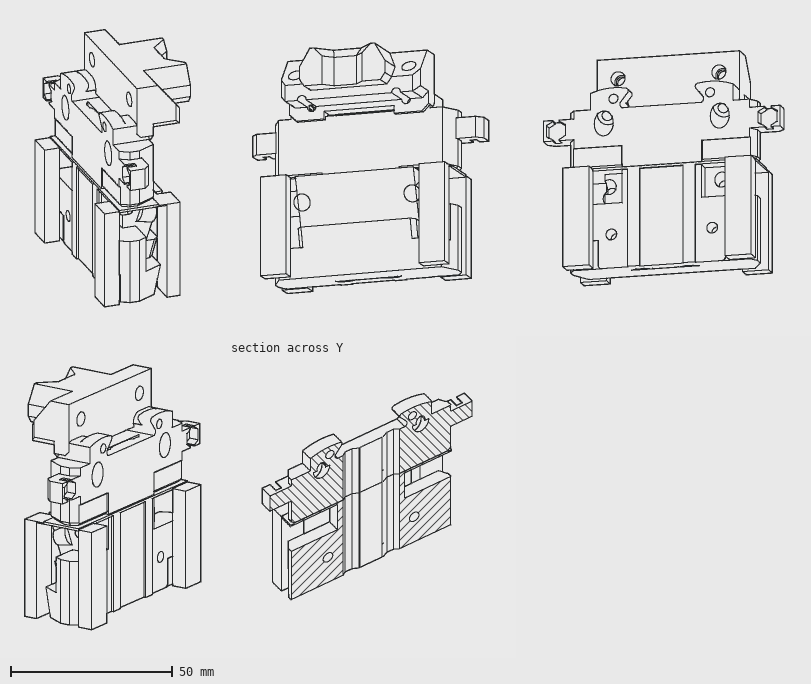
import cadquery as cq
import math

SIDES = (-1, 1)

overall_depth = 34.65
top_z = 68.8
plate_bottom_z = 31.9
plate_top_z = 51.0
leg_top_z = 31.55
deck_bottom_z = 31.15

end_front_x = 28.2
end_x = 30.0
end_front_y = 2.9
end_rear_y = 6.1
end_taper = 0.54
plate_rear_y = 11.85

prism_half_width = 22.9
prism_front_y = 7.9
slope_top_y = 14.75
slope_bottom_y = 22.8
slope_bottom_z = 59.1
wing_bottom_z = 54.0
wing_chamfer = 2.0
lip_rear_y = 13.4
lip_bottom_z = 49.85
lip_front_y = 11.4
lip_chamfer = 2.2
relief_half_width = 11.55
relief_top_z = 52.3
bridge_half_width = 13.2
jaw_rear_y = 29.0
jaw_half_width = 14.05
jaw_top_half_width = 10.65
jaw_shoulder_z = 63.0
jaw_bottom_z = 56.9
jaw_bottom_half_width = 12.55
notch_slope_z = 66.0
notch_top = (9.35, 4.55, 24.1)
notch_bottom = (6.5, 3.65, 26.0)
tapped_x = 16.2
tapped_z = 62.4
tapped_diameter = 4.5
tapped_depth = 4.55
tapped_drill_diameter = 3.5
tapped_drill_depth = 6.1
drill_tip_angle = 31.0

bolt_x = 18.6
bolt_z = 46.35
bolt_tilt = 40.0
bolt_head_diameter = 6.1
bolt_head_depth = 5.25
bolt_plate_diameter = 3.2
bolt_prism_diameter = 4.5
bolt_length = 34.2

hook_tip_x = 38.0
hook_bottom_z = 41.8
hook_top_z = 48.4
hook_depth = 6.85
hook_chamfer = 2.05
nut_x = 34.0
nut_flats = 6.1
nut_depth = 3.2
nut_slot_width = 2.1
ear_hole_x = 15.5
ear_hole_z = 54.0
ear_hole_diameter = 2.9
ear_side_z = 56.25
ear_crown = (16.7, 57.5)
ear_nose_top = (11.7, 57.2)
ear_nose_tip = (10.9, 56.7)
ear_nose_bottom = (10.9, 55.8)
ear_neck_top = (13.2, 52.8)
ear_neck = (13.4, 51.8)
ear_foot_x = 12.6
ear_foot_depth = 0.75
ear_step_y = 4.7
ear_step_z = 56.8
ear_round = 3.2
ear_round_end_x = 12.85
corner_inner_x = 12.7
corner_top_z = 38.9
corner_depth = 0.3
corner_chamfer = 1.2

leg_outer_x = 30.25
leg_inner_x = 21.8
rib_front_y = -0.7
front_leg_y = jaw_rear_y - overall_depth
deck_rear_y = 15.05
rear_leg_y = 19.45
raised_rear_y = 12.4
rib_inner_x = 7.0
rib_outer_x = 10.9
core_half_width = 19.4
wall_front_y = 4.4
wing_rear_y = 8.8
wing_top_z = 20.7
base_top_z = 9.1
base_rear_y = 12.15
base_slope = 0.288
rear_chamfer = 1.45
ledge_z = 15.2
ledge_y = 12.2
base_recess_x = 20.45
base_recess_round = 1.2
dowel_x = 16.2
dowel_z = 10.7
dowel_diameter = 3.4
dowel_depth = 6.1
slit_outline = [(4.1, 4.5), (6.5, 3.35), (9.1, 3.35), (10.9, 4.5)]
slit_gap = 0.2

pin_x = 18.1
pin_tilt = 19.0
pin_front_diameter = 6.85
pin_rear_diameter = 5.3
pin_length = 5.3
pin_start = 5.9
screw_z = 27.05
screw_diameter = 3.2
screw_head_diameter = 4.5
screw_head_depth = 0.9
screw_depth = 3.2


def box(x_a, x_b, y_a, y_b, z_a, z_b):
    """Axis-parallel box between two corners, given in any order."""
    size = (abs(x_b - x_a), abs(y_b - y_a), abs(z_b - z_a))
    middle = ((x_a + x_b) / 2, (y_a + y_b) / 2, (z_a + z_b) / 2)
    return cq.Workplane("XY").box(*size).translate(middle)


def side_prism(points, half_width):
    """Outline in Y and Z extruded to both sides of the middle plane."""
    return cq.Workplane("YZ").polyline(points).close().extrude(half_width, both=True)


def tilted_cylinder(diameter, length, x, y, z, tilt):
    """Cylinder that runs to the rear from a start point, rising by the tilt angle in degrees."""
    angle = math.radians(tilt)
    axis = cq.Vector(0, math.cos(angle), math.sin(angle))
    return cq.Workplane(cq.Solid.makeCylinder(diameter / 2, length, cq.Vector(x, y, z), axis))


def end_profile(rear_y):
    """Plan outline with faceted ends, from the front face to a rear plane."""
    rear_x = end_x - end_taper * (rear_y - end_rear_y)
    right = [(end_front_x, 0), (end_x, end_front_y), (end_x, end_rear_y), (rear_x, rear_y)]
    left = [(-x, y) for x, y in reversed(right)]
    return cq.Workplane("XY").polyline(right + left).close()


def slits(bottom_z, top_z_of_cut):
    """Pair of vertical slits with a thin gap between them, open from above to below."""
    cutter = cq.Workplane("XY").workplane(offset=bottom_z)
    for side in SIDES:
        cutter = cutter.polyline([(side * x, y) for x, y in slit_outline]).close()
    inner_x, rear_y = slit_outline[0]
    gap = box(-inner_x, inner_x, rear_y - slit_gap, rear_y, bottom_z, top_z_of_cut)
    return cutter.extrude(top_z_of_cut - bottom_z).union(gap)


def wing_body():
    wing = side_prism(
        [
            (prism_front_y, wing_bottom_z),
            (prism_front_y, top_z),
            (slope_top_y, top_z),
            (slope_bottom_y, slope_bottom_z),
            (slope_bottom_y, wing_bottom_z),
        ],
        prism_half_width,
    )
    corner = wing_chamfer
    for side in SIDES:
        edge_x = side * prism_half_width
        inner_x = edge_x - side * corner
        rear_edge = (
            cq.Workplane("XY").workplane(offset=wing_bottom_z)
            .polyline([
                (edge_x, slope_bottom_y),
                (inner_x, slope_bottom_y),
                (edge_x, slope_bottom_y - corner),
            ])
            .close().extrude(top_z - wing_bottom_z)
        )
        bottom_edge = (
            cq.Workplane("XZ", origin=(0, lip_rear_y, 0))
            .polyline([(edge_x, wing_bottom_z), (inner_x, wing_bottom_z), (edge_x, wing_bottom_z + corner)])
            .close().extrude(lip_rear_y - slope_bottom_y)
        )
        wing = wing.cut(rear_edge).cut(bottom_edge)
    return wing


def lip_body():
    """Lip under the wings, sloped in front where it seats on the plate and raised in the middle."""
    lip = side_prism(
        [
            (prism_front_y, wing_bottom_z),
            (prism_front_y, lip_bottom_z + lip_front_y - prism_front_y),
            (lip_front_y, lip_bottom_z),
            (lip_rear_y, lip_bottom_z),
            (lip_rear_y, wing_bottom_z),
        ],
        prism_half_width,
    )
    lip = lip.faces("<Z").edges("|Y").chamfer(lip_chamfer)
    relief = box(-relief_half_width, relief_half_width, prism_front_y, lip_rear_y, lip_bottom_z, relief_top_z)
    bridge = box(
        -bridge_half_width, bridge_half_width, prism_front_y, lip_rear_y, relief_top_z, wing_bottom_z
    )
    return lip.cut(relief).union(bridge)


def notch_section(half_rear, half_floor, floor_y, z):
    points = [
        (-half_rear, jaw_rear_y),
        (-half_floor, floor_y),
        (half_floor, floor_y),
        (half_rear, jaw_rear_y),
    ]
    return cq.Wire.makePolygon([cq.Vector(x, y, z) for x, y in points], close=True)


def jaw_body():
    """Jaw behind the wings with sloped sides and a notch, flared at the top, in its rear end."""
    right = [
        (jaw_top_half_width, top_z),
        (jaw_half_width, jaw_shoulder_z),
        (jaw_half_width, slope_bottom_z),
        (jaw_bottom_half_width, jaw_bottom_z),
    ]
    left = [(-x, z) for x, z in reversed(right)]
    jaw = (
        cq.Workplane("XZ", origin=(0, prism_front_y, 0))
        .polyline(right + left).close().extrude(prism_front_y - jaw_rear_y)
    )
    mouth = notch_section(*notch_top, top_z)
    throat = notch_section(*notch_bottom, notch_slope_z)
    foot = notch_section(*notch_bottom, jaw_bottom_z)
    sloped_notch = cq.Solid.makeLoft([mouth, throat], True)
    straight_notch = cq.Solid.makeLoft([throat, foot], True)
    return jaw.cut(cq.Workplane(sloped_notch)).cut(cq.Workplane(straight_notch))


def tapped_hole(x):
    """Stepped blind hole with a conical bottom, as a cutter."""
    radius = tapped_diameter / 2
    drill_radius = tapped_drill_diameter / 2
    drill_tip = drill_radius * math.tan(math.radians(drill_tip_angle))
    return (
        cq.Workplane("XY")
        .polyline([
            (0, 0),
            (radius, 0),
            (radius, tapped_depth),
            (drill_radius, tapped_depth),
            (drill_radius, tapped_drill_depth),
            (0, tapped_drill_depth + drill_tip),
        ])
        .close().revolve(360, (0, 0, 0), (0, 1, 0))
        .translate((x, prism_front_y, tapped_z))
    )


def ear_hole(x):
    start = cq.Vector(x, 0, ear_hole_z)
    return cq.Workplane(
        cq.Solid.makeCylinder(ear_hole_diameter / 2, slope_bottom_y, start, cq.Vector(0, 1, 0))
    )


prism_blank = wing_body().union(lip_body()).union(jaw_body())
prism_block = prism_blank
for side in SIDES:
    prism_block = prism_block.cut(tapped_hole(side * tapped_x))
    prism_block = prism_block.cut(ear_hole(side * ear_hole_x))
    bolt_hole = tilted_cylinder(bolt_prism_diameter, bolt_length, side * bolt_x, 0, bolt_z, bolt_tilt)
    prism_block = prism_block.cut(bolt_hole)


def plate_body():
    """Faceted plate whose bottom edge is chamfered outside its middle part."""
    body = end_profile(plate_rear_y).extrude(plate_top_z - plate_bottom_z)
    body = body.faces("<Z").edges().chamfer(corner_chamfer).translate((0, 0, plate_bottom_z))
    middle = box(-corner_inner_x, corner_inner_x, 0, plate_rear_y, plate_bottom_z, corner_top_z)
    return body.union(middle)


def front_recess(side):
    """Shallow recess in a lower front corner of the plate, with a sloped inner wall."""
    points = [
        (corner_inner_x, 0),
        (corner_inner_x + corner_depth, corner_depth),
        (end_x, corner_depth),
        (end_x, 0),
    ]
    return (
        cq.Workplane("XY").workplane(offset=plate_bottom_z)
        .polyline([(side * x, y) for x, y in points]).close()
        .extrude(corner_top_z - plate_bottom_z)
    )


def hook(side):
    """Side lug with a hexagonal nut pocket and a vertical slot through it."""
    points = [
        (end_front_x, 0),
        (hook_tip_x, 0),
        (hook_tip_x, hook_depth - hook_chamfer),
        (hook_tip_x - hook_chamfer, hook_depth),
        (end_front_x, hook_depth),
    ]
    lug = (
        cq.Workplane("XY").workplane(offset=hook_bottom_z)
        .polyline([(side * x, y) for x, y in points]).close()
        .extrude(hook_top_z - hook_bottom_z)
    )
    middle_z = (hook_bottom_z + hook_top_z) / 2
    pocket = (
        cq.Workplane("XZ", origin=(side * nut_x, 0, middle_z))
        .transformed(rotate=(0, 0, 90))
        .polygon(6, nut_flats / math.cos(math.pi / 6)).extrude(-nut_depth)
    )
    slot_edge = nut_slot_width / 2
    slot = box(
        side * nut_x - slot_edge, side * nut_x + slot_edge, 0, nut_depth, hook_bottom_z, hook_top_z
    )
    return lug.cut(pocket).cut(slot)


def ear(side):
    """Hooked ear on top of the plate, lowered and rounded behind its front part."""
    def at(x, z):
        return (side * x, z)

    foot_z = plate_top_z - ear_foot_depth
    ear_body = (
        cq.Workplane("XZ")
        .moveTo(*at(prism_half_width, foot_z))
        .lineTo(*at(prism_half_width, ear_side_z))
        .threePointArc(at(*ear_crown), at(*ear_nose_top))
        .threePointArc(at(*ear_nose_tip), at(*ear_nose_bottom))
        .lineTo(*at(*ear_neck_top))
        .threePointArc(at(*ear_neck), at(ear_foot_x, plate_top_z))
        .lineTo(*at(ear_foot_x, foot_z))
        .close().extrude(-plate_rear_y)
    )
    round_x = ear_round_end_x + ear_round
    middle_offset = ear_round * math.sqrt(0.5)
    step = (
        cq.Workplane("XZ", origin=(0, ear_step_y, 0))
        .moveTo(*at(prism_half_width, top_z))
        .lineTo(*at(prism_half_width, ear_step_z))
        .lineTo(*at(round_x, ear_step_z))
        .threePointArc(
            at(round_x - middle_offset, ear_step_z - ear_round + middle_offset),
            at(ear_round_end_x, ear_step_z - ear_round),
        )
        .lineTo(*at(0, ear_step_z - ear_round))
        .lineTo(*at(0, top_z))
        .close().extrude(ear_step_y - plate_rear_y)
    )
    return ear_body.cut(step)


plate = plate_body()
for side in SIDES:
    plate = plate.union(ear(side)).union(hook(side)).cut(front_recess(side))
plate = plate.cut(prism_blank).cut(slits(plate_bottom_z, plate_top_z))
for side in SIDES:
    plate = plate.cut(ear_hole(side * ear_hole_x))
    bolt_start = (side * bolt_x, 0, bolt_z, bolt_tilt)
    plate = plate.cut(tilted_cylinder(bolt_plate_diameter, bolt_length, *bolt_start))
    lead = bolt_head_diameter
    head_y = -lead * math.cos(math.radians(bolt_tilt))
    head_z = bolt_z - lead * math.sin(math.radians(bolt_tilt))
    plate = plate.cut(
        tilted_cylinder(bolt_head_diameter, lead + bolt_head_depth, side * bolt_x, head_y, head_z, bolt_tilt)
    )


def block_core():
    """Middle of the block, with a stepped and sloped rear."""
    wall_slope = math.tan(math.radians(pin_tilt))
    core = side_prism(
        [
            (0, 0),
            (0, deck_bottom_z),
            (ledge_y + wall_slope * (deck_bottom_z - ledge_z), deck_bottom_z),
            (ledge_y, ledge_z),
            (base_rear_y + base_slope * ledge_z, ledge_z),
            (base_rear_y, 0),
        ],
        core_half_width,
    )
    lower_rear_edges = cq.selectors.BoxSelector(
        (-end_x, base_rear_y, ledge_z / 4), (end_x, deck_rear_y, ledge_z * 3 / 4)
    )
    core = core.edges(lower_rear_edges).chamfer(rear_chamfer)
    for side in SIDES:
        core = core.cut(
            box(side * corner_inner_x, side * core_half_width, 0, wall_front_y, wing_top_z, deck_bottom_z)
        )
    return core


def block_base():
    """Base of the block, whose rear face slopes to the front at the bottom."""
    top_y = base_rear_y + base_slope * base_top_z
    base = end_profile(top_y).extrude(base_top_z)
    allowed = side_prism([(0, 0), (0, base_top_z), (top_y, base_top_z), (base_rear_y, 0)], end_x)
    return base.intersect(allowed)


def base_recess(side):
    """Shallow recess in a lower front corner, with a rounded foot on the raised middle."""
    r = base_recess_round
    return (
        cq.Workplane("XZ")
        .moveTo(side * (base_recess_x - r), 0)
        .radiusArc((side * base_recess_x, r), -side * r)
        .lineTo(side * base_recess_x, base_top_z)
        .lineTo(side * end_x, base_top_z)
        .lineTo(side * end_x, 0)
        .close().extrude(-corner_depth)
    )


def legs_and_deck():
    deck = box(-leg_outer_x, leg_outer_x, rib_front_y, deck_rear_y, deck_bottom_z, leg_top_z)
    raised = box(-leg_outer_x, leg_outer_x, rib_front_y, raised_rear_y, leg_top_z, plate_bottom_z)
    frame = deck.union(raised)
    for side in SIDES:
        inner_x = side * leg_inner_x
        outer_x = side * leg_outer_x
        frame = frame.union(box(inner_x, outer_x, front_leg_y, rib_front_y, 0, leg_top_z))
        frame = frame.union(box(inner_x, outer_x, deck_rear_y, rear_leg_y, 0, leg_top_z))
        frame = frame.union(box(side * rib_inner_x, side * rib_outer_x, rib_front_y, 0, 0, plate_bottom_z))
    return frame


def make_pin(side):
    """Taper pin square to the sloped rear wall, behind the tilted screw hole."""
    angle = math.radians(pin_tilt)
    axis = cq.Vector(0, math.cos(angle), -math.sin(angle))
    start = cq.Vector(side * pin_x, wall_front_y, screw_z) + axis * pin_start
    return cq.Workplane(
        cq.Solid.makeCone(pin_front_diameter / 2, pin_rear_diameter / 2, pin_length, start, axis)
    )


def screw_hole(side):
    """Tilted blind hole in the recessed wall, narrowing to a conical end, as a cutter."""
    angle = math.radians(pin_tilt)
    axis = cq.Vector(0, math.cos(angle), -math.sin(angle))
    entry = cq.Vector(side * pin_x, wall_front_y, screw_z)
    lead = screw_head_diameter / 2
    mouth = entry - axis * lead
    shoulder = entry + axis * screw_head_depth
    head = tilted_cylinder(screw_head_diameter, lead + screw_head_depth, *mouth.toTuple(), -pin_tilt)
    cone_length = screw_depth - screw_head_depth
    cone = cq.Solid.makeCone(screw_head_diameter / 2, screw_diameter / 2, cone_length, shoulder, axis)
    drill_tip = cq.Solid.makeCone(
        screw_diameter / 2, 0, screw_diameter / 2, shoulder + axis * cone_length, axis
    )
    return head.union(cq.Workplane(cone)).union(cq.Workplane(drill_tip))


pins = [make_pin(side) for side in SIDES]
wings = end_profile(wing_rear_y).extrude(wing_top_z)
carrier = block_core().union(wings).union(block_base()).union(legs_and_deck())
carrier = carrier.cut(slits(0, plate_bottom_z))
for side, pin in zip(SIDES, pins):
    carrier = carrier.cut(base_recess(side)).cut(screw_hole(side)).cut(pin)
    dowel_start = cq.Vector(side * dowel_x, 0, dowel_z)
    dowel_hole = cq.Solid.makeCylinder(dowel_diameter / 2, dowel_depth, dowel_start, cq.Vector(0, 1, 0))
    carrier = carrier.cut(cq.Workplane(dowel_hole))

result = cq.Compound.makeCompound(
    [prism_block.val(), plate.val(), carrier.val(), *[pin.val() for pin in pins]]
)